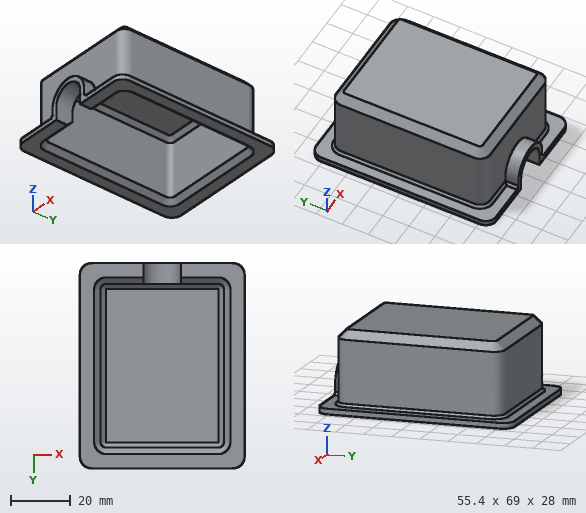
import cadquery as cq
import math

flange_x = 55.4
flange_y = 69.0
corner_radius = 4.0
wall = 2.0

height = 28.0
margin = 5.0
cover_x = flange_x - 2 * margin
cover_y = flange_y - 2 * margin
top_chamfer = 3.0
foot_chamfer = 1.0

arch_radius = 8.3
bore_radius = arch_radius - wall
arch_axis_z = 5.3

leg_change = wall * (2 - math.sqrt(2))
cavity_top_chamfer = top_chamfer - leg_change
cavity_foot_chamfer = foot_chamfer + leg_change


def rounded_block(size_x, size_y, size_z, radius):
    """Block standing on Z = 0 with rounded vertical edges."""
    block = cq.Workplane("XY").box(size_x, size_y, size_z, centered=(True, True, False))
    return block.edges("|Z").fillet(radius)


def flared_box(size_x, size_y, size_z, radius, top_leg, foot_leg, foot_z):
    """Rounded box, chamfered on top, with a 45 degree flare ending foot_leg above foot_z."""
    body = rounded_block(size_x, size_y, size_z, radius).faces(">Z").edges().chamfer(top_leg)
    base = cq.Workplane("XY").sketch().rect(size_x + 2 * foot_leg, size_y + 2 * foot_leg)
    base = base.vertices().fillet(radius + foot_leg).finalize()
    flare = base.extrude(foot_leg, taper=45).translate((0, 0, foot_z))
    return body.union(flare)


def arch_prism(radius, length):
    """Round-topped prism on the XZ plane, running from the -Y edge toward +Y."""
    return (
        cq.Workplane("XZ", origin=(0, -flange_y / 2, 0))
        .moveTo(-radius, 0)
        .lineTo(-radius, arch_axis_z)
        .threePointArc((0, arch_axis_z + radius), (radius, arch_axis_z))
        .lineTo(radius, 0)
        .close()
        .extrude(-length)
    )


arch_length = margin + wall / 2
bore_length = margin + wall + cavity_foot_chamfer

arch_foot = (
    cq.Workplane("XZ", origin=(0, -flange_y / 2, 0))
    .moveTo(-arch_radius - foot_chamfer, 0)
    .lineTo(-arch_radius - foot_chamfer, wall)
    .lineTo(-arch_radius, wall + foot_chamfer)
    .lineTo(arch_radius, wall + foot_chamfer)
    .lineTo(arch_radius + foot_chamfer, wall)
    .lineTo(arch_radius + foot_chamfer, 0)
    .close()
    .extrude(-arch_length)
)

flange = rounded_block(flange_x, flange_y, wall, corner_radius)
cover = flared_box(cover_x, cover_y, height, corner_radius, top_chamfer, foot_chamfer, wall)
cavity = flared_box(
    cover_x - 2 * wall,
    cover_y - 2 * wall,
    height - wall,
    corner_radius - wall,
    cavity_top_chamfer,
    cavity_foot_chamfer,
    0,
)

result = (
    flange.union(cover)
    .union(arch_prism(arch_radius, arch_length))
    .union(arch_foot)
    .cut(cavity)
    .cut(arch_prism(bore_radius, bore_length))
)